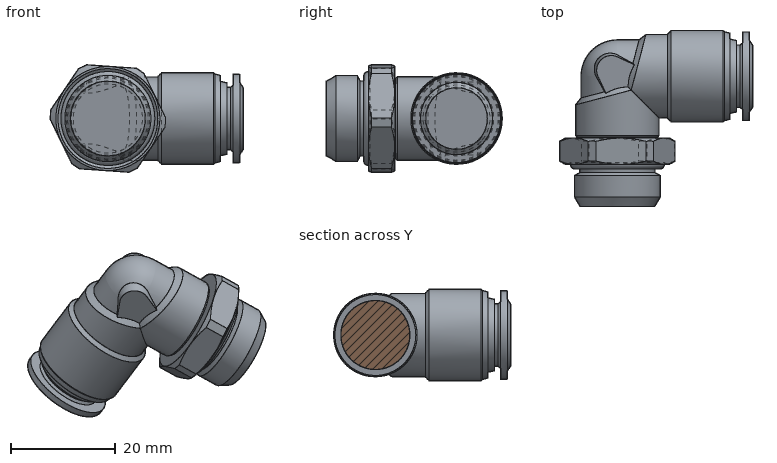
import cadquery as cq
import math


bend_diagonal = 45.0
body_radius = 7.0
sleeve_radius = 8.0
sleeve_tilt = 15.0
sleeve_corner = 1.75
sleeve_chamfer = 1.1

pad_radius = 2.8
pad_offset = 1.15
pad_spread = 20.0
pad_draft = 15.0
pad_corner = 3.5

collar_start = 9.55
collar_radius = 8.77
collar_bevel = 0.75
collar_end = 20.25
collar_edge = 0.22
cap_end = 21.55
cap_radius_end = 8.25
ring_radius = 7.15
ring_radius_end = 6.85
ring_end = 22.8
neck_radius = 6.0
neck_end = 23.45
flange_start = 24.0
flange_root_radius = 6.4
flange_radius = 8.5
flange_end = 25.25
flange_rim_length = 0.25
flange_rim_drop = 0.07
nose_radius = 6.92
nose_radius_end = 5.9
socket_end_x = 25.95

sleeve_end = 11.65
sleeve_end_bevel = 0.37
sleeve_end_drop = 0.25
swivel_radius = 6.62
hex_start = 11.8
hex_end = 16.88
seal_end = 17.75
seal_radius = 9.0
relief_radius = 7.2
thread_start = 18.43
thread_lead_in = 0.55
thread_radius = 8.25
tip_start = 23.05
tip_radius = 7.15
stud_end = 24.95

hex_sides = 6
hex_flats = 20.0
hex_corner_distance = 11.03
hex_turn = 4.0
hex_bevel_angle = 30.0
hex_face_radius = 9.95
seal_recess_radius = 9.55
seal_recess_depth = 0.37


def turned_along_x(profile):
    """Revolve (x, radius) points about the X axis."""
    return cq.Workplane("XY").polyline(profile).close().revolve(360, (0, 0), (1, 0))


def turned_along_stud(profile):
    """Revolve (distance along -Y, radius) points about the Y axis."""
    points = [(radius, -distance) for distance, radius in profile]
    return cq.Workplane("XY").polyline(points).close().revolve(360, (0, 0), (0, 1))


def swap_arms(shape):
    """Mirror across the bend diagonal, carrying the +X arm onto the -Y arm."""
    return shape.rotate((0, 0, 0), (0, 0, 1), 90).mirror("XZ")


def sleeve(length):
    """Cylinder along +X whose inner end leans and is chamfered all round."""
    lean = math.tan(math.radians(sleeve_tilt))
    reach = 2 * sleeve_radius

    def end_plane_x(y):
        return sleeve_corner + lean * (y + sleeve_corner)

    blank = cq.Workplane("YZ", origin=(-reach, 0, 0)).circle(sleeve_radius).extrude(reach + length)
    end_cut = (
        cq.Workplane("XY")
        .polyline([
            (end_plane_x(-reach), -reach),
            (end_plane_x(reach), reach),
            (-2 * reach, reach),
            (-2 * reach, -reach),
        ])
        .close()
        .extrude(reach, both=True)
    )
    return blank.cut(end_cut).faces("<X").edges().chamfer(sleeve_chamfer)


def elbow_body():
    """Spherical bend with a half pipe arm running into each sleeve."""
    arm = cq.Workplane("YZ").circle(body_radius).extrude(collar_start)
    return cq.Workplane("XY").sphere(body_radius).union(arm).union(swap_arms(arm))


def marking_pad():
    """Flat-topped drafted pad, rounded at the outside of the bend."""
    side_angle = math.radians(bend_diagonal - pad_spread)
    round_x = -pad_offset + pad_radius * math.sin(side_angle)
    round_y = pad_offset + pad_radius * math.cos(side_angle)
    side_end_y = round_y - (pad_corner - round_x) * math.tan(side_angle)
    outer_reach = pad_offset + pad_radius * math.sqrt(0.5)
    return (
        cq.Workplane("XY", origin=(0, 0, body_radius))
        .moveTo(round_x, round_y)
        .lineTo(pad_corner, side_end_y)
        .lineTo(pad_corner, -pad_corner)
        .lineTo(-side_end_y, -pad_corner)
        .lineTo(-round_y, -round_x)
        .threePointArc((-outer_reach, outer_reach), (round_x, round_y))
        .close()
        .extrude(-body_radius, taper=-pad_draft)
    )


def socket_end():
    """Collar, cap, grip ring and release flange of the tube socket."""
    return turned_along_x([
        (collar_start, 0),
        (collar_start, collar_radius - collar_bevel),
        (collar_start + collar_bevel, collar_radius),
        (collar_end, collar_radius),
        (collar_end + collar_edge, collar_radius - collar_edge),
        (cap_end, cap_radius_end),
        (cap_end, ring_radius),
        (ring_end, ring_radius_end),
        (ring_end, neck_radius),
        (neck_end, neck_radius),
        (flange_start, flange_root_radius),
        (flange_start, flange_radius),
        (flange_end - flange_rim_length, flange_radius),
        (flange_end, flange_radius - flange_rim_drop),
        (flange_end, nose_radius),
        (socket_end_x, nose_radius_end),
        (socket_end_x, 0),
    ])


def stud():
    """Swivel gap, sealing ring and plain stud below the lower sleeve."""
    turned = turned_along_stud([
        (sleeve_end - sleeve_end_bevel, 0),
        (sleeve_end - sleeve_end_bevel, sleeve_radius),
        (sleeve_end, sleeve_radius - sleeve_end_drop),
        (sleeve_end, swivel_radius),
        (hex_end, swivel_radius),
        (hex_end, relief_radius),
        (thread_start, relief_radius),
        (thread_start + thread_lead_in, thread_radius),
        (tip_start, thread_radius),
        (stud_end, tip_radius),
        (stud_end, 0),
    ])
    seal_depth = seal_end - hex_end + seal_recess_depth
    seal = (
        cq.Workplane("XZ", origin=(0, -seal_end, 0))
        .circle(seal_radius)
        .extrude(-seal_depth)
        .faces("<Y")
        .edges()
        .fillet(seal_end - hex_end)
    )
    return turned.union(seal)


def hexagon():
    """Wrench hexagon with blunted corners, bevelled faces and a seal recess."""
    length = hex_end - hex_start
    base = cq.Workplane("XZ", origin=(0, -hex_start, 0))
    half_step = 180 / hex_sides
    corner_ratio = 1 / math.cos(math.radians(half_step))
    corner_diameter = hex_flats * corner_ratio
    blunt_diameter = 2 * hex_corner_distance * corner_ratio
    body = base.polygon(hex_sides, corner_diameter).extrude(length)
    blunting = base.polygon(hex_sides, blunt_diameter).extrude(length)
    blunting = blunting.rotate((0, 0, 0), (0, 1, 0), half_step)
    body = body.intersect(blunting).rotate((0, 0, 0), (0, 1, 0), hex_turn)

    outer_radius = corner_diameter / 2
    bevel_depth = (outer_radius - hex_face_radius) * math.tan(math.radians(hex_bevel_angle))
    bevelled_blank = turned_along_stud([
        (hex_start, 0),
        (hex_start, hex_face_radius),
        (hex_start + bevel_depth, outer_radius),
        (hex_end - bevel_depth, outer_radius),
        (hex_end, hex_face_radius),
        (hex_end, 0),
    ])
    recess = turned_along_stud([
        (hex_end, 0),
        (hex_end, seal_recess_radius),
        (hex_end - seal_recess_depth, seal_radius),
        (hex_end - seal_recess_depth, 0),
    ])
    return body.intersect(bevelled_blank).cut(recess)


upper_pad = marking_pad()
result = (
    elbow_body()
    .union(upper_pad)
    .union(upper_pad.mirror("XY"))
    .union(sleeve(collar_start))
    .union(swap_arms(sleeve(sleeve_end - sleeve_end_bevel)))
    .union(socket_end())
    .union(stud())
    .union(hexagon())
)